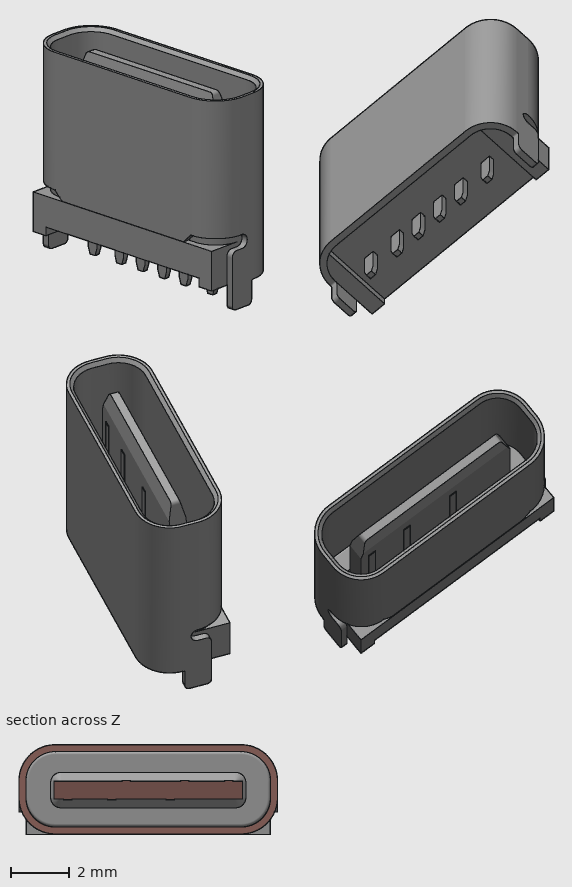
import cadquery as cq

SHELL_LENGTH = 8.85
SHELL_WIDTH = 3.06
SHELL_HEIGHT = 6.815
SHELL_RADIUS = 1.25
WALL = 0.25
MOUTH_CHAMFER = 0.13

INNER_LENGTH = SHELL_LENGTH - 2 * WALL
INNER_WIDTH = SHELL_WIDTH - 2 * WALL
INNER_RADIUS = SHELL_RADIUS - WALL
FLAT_HALF_X = SHELL_LENGTH / 2 - SHELL_RADIUS
FLAT_HALF_Y = SHELL_WIDTH / 2 - SHELL_RADIUS

BASE_HEIGHT = 1.45
BASE_LIP = 0.02
SKIRT_BOTTOM = 1.78
RELIEF_HEIGHT = 0.505

LEG_BOTTOM = -0.885
LEG_TOP = SKIRT_BOTTOM - RELIEF_HEIGHT
LEG_FRONT = -0.78
LEG_BACK = 0.195
LEG_TOP_FILLET = 0.22
LEG_END_FILLET = 0.18
LEG_ROOT_FILLET = 0.07

FLOOR_HEIGHT = 1.9
FLOOR_FILLET = 0.1
CHANNEL_LENGTH = 7.17
CHANNEL_HEIGHT = 0.32

FOOT_LENGTH = 6.67
FOOT_WIDTH = 1.21
FOOT_RADIUS = 0.35
FOOT_HEIGHT = 0.345

TONGUE_Y = -0.03
TONGUE_LENGTH = 6.46
TONGUE_THICKNESS = 0.61
TONGUE_TIP = 6.55
TIP_LENGTH = 5.88
TIP_THICKNESS = 0.31
TIP_BEVEL_HEIGHT = 0.64
END_BEVEL_HEIGHT = 0.97
TIP_FILLET = 0.16

CONTACT_WIDTH = 0.28
CONTACT_RISE = 0.03
CONTACT_TOP = 5.31
BACK_CONTACTS = (-0.75, 1.25, 2.75)

PIN_WIDTH = 0.41
PIN_TIP_WIDTH = 0.24
PIN_THICKNESS = 0.2
PIN_TAPER = 0.265
PIN_OFFSETS = (0.505, 1.505, 2.75)


def oblong(length, width, radius, bottom, top):
    """Upright rounded-rectangle prism between two heights."""
    prism = cq.Workplane("XY", origin=(0, 0, bottom)).rect(length, width).extrude(top - bottom)
    return prism.edges("|Z").fillet(radius)


def box_between(x_range, y_range, z_range):
    """Box given by its limits along each axis."""
    size = [high - low for low, high in (x_range, y_range, z_range)]
    corner = (x_range[0], y_range[0], z_range[0])
    return cq.Workplane("XY").box(*size, centered=False).translate(corner)


def make_tube():
    """Oblong tube whose bore widens at the mouth."""
    outer = oblong(SHELL_LENGTH, SHELL_WIDTH, SHELL_RADIUS, 0, SHELL_HEIGHT)
    bore = oblong(INNER_LENGTH, INNER_WIDTH, INNER_RADIUS, 0, SHELL_HEIGHT)
    tube = outer.cut(bore)
    mouth = tube.faces(">Z").val().innerWires()[0]
    return tube.newObject([tube.val().chamfer(MOUTH_CHAMFER, None, mouth.Edges())])


def make_front_tab():
    """Tapered strip of the front wall that reaches down to the base block."""
    drop = SKIRT_BOTTOM - BASE_HEIGHT
    return (
        cq.Workplane("XZ", origin=(0, -INNER_WIDTH / 2, 0))
        .moveTo(-FLAT_HALF_X, SKIRT_BOTTOM)
        .lineTo(-FLAT_HALF_X + drop, BASE_HEIGHT)
        .lineTo(FLAT_HALF_X - drop, BASE_HEIGHT)
        .lineTo(FLAT_HALF_X, SKIRT_BOTTOM)
        .close()
        .extrude(WALL)
    )


def make_leg(inner_x):
    """Flat leg in line with an end wall of the shell, starting at inner_x."""
    plate = (
        box_between((0, WALL), (LEG_FRONT, LEG_BACK), (LEG_BOTTOM, LEG_TOP))
        .edges("|X and >Z and <Y")
        .fillet(LEG_TOP_FILLET)
        .edges("|X and <Z")
        .fillet(LEG_END_FILLET)
    )
    root = (
        cq.Workplane("YZ")
        .moveTo(LEG_BACK, 0)
        .lineTo(LEG_BACK + LEG_ROOT_FILLET, 0)
        .radiusArc((LEG_BACK, -LEG_ROOT_FILLET), -LEG_ROOT_FILLET)
        .close()
        .extrude(WALL)
    )
    return plate.union(root).translate((inner_x, 0, 0))


def make_shell():
    """Tube cut away at the lower front, with its front tab and two legs."""
    half = SHELL_LENGTH / 2
    cutaway = box_between((-half, half), (-SHELL_WIDTH / 2, -FLAT_HALF_Y), (0, SKIRT_BOTTOM))
    relief = (
        cq.Workplane("YZ", origin=(-half, 0, 0))
        .center(-FLAT_HALF_Y, SKIRT_BOTTOM - RELIEF_HEIGHT / 2)
        .circle(RELIEF_HEIGHT / 2)
        .extrude(SHELL_LENGTH)
    )
    shell = make_tube().cut(cutaway).cut(relief).union(make_front_tab())
    for inner_x in (-half, half - WALL):
        shell = shell.union(make_leg(inner_x))
    return shell


def make_base():
    """Plug filling the shell, with the block at its front and the channel underneath."""
    plug = oblong(INNER_LENGTH, INNER_WIDTH, INNER_RADIUS, 0, FLOOR_HEIGHT)
    plug = plug.faces(">Z").edges().fillet(FLOOR_FILLET)
    half = INNER_LENGTH / 2
    block = box_between((-half, half), (-SHELL_WIDTH / 2 - BASE_LIP, 0), (0, BASE_HEIGHT))
    channel = cq.Workplane("XY").box(
        CHANNEL_LENGTH, 2 * SHELL_WIDTH, CHANNEL_HEIGHT, centered=(True, True, False)
    )
    return plug.union(block).cut(channel)


def make_foot():
    """Raised foot with sloped sides around the tongue."""
    bottom = FLOOR_HEIGHT - FOOT_HEIGHT
    top = FLOOR_HEIGHT + FOOT_HEIGHT
    foot = oblong(FOOT_LENGTH, FOOT_WIDTH, FOOT_RADIUS, bottom, top)
    return foot.faces(">Z").chamfer(FOOT_HEIGHT)


def bevelled_slab(plane, width, tip_width, bevel_height, depth):
    """Slab standing on the floor, its outline in the given plane narrowing over the bevel height."""
    shoulder = TONGUE_TIP - bevel_height
    return (
        cq.Workplane(plane)
        .moveTo(-width / 2, FLOOR_HEIGHT)
        .lineTo(width / 2, FLOOR_HEIGHT)
        .lineTo(width / 2, shoulder)
        .lineTo(tip_width / 2, TONGUE_TIP)
        .lineTo(-tip_width / 2, TONGUE_TIP)
        .lineTo(-width / 2, shoulder)
        .close()
        .extrude(depth / 2, both=True)
    )


def make_tongue():
    """Tongue bevelled on all four sides, with rounded ends at its tip."""
    long_outline = bevelled_slab("XZ", TONGUE_LENGTH, TIP_LENGTH, END_BEVEL_HEIGHT, TONGUE_THICKNESS)
    long_outline = long_outline.faces(">Z").edges("|Y").fillet(TIP_FILLET)
    cross_section = bevelled_slab("YZ", TONGUE_THICKNESS, TIP_THICKNESS, TIP_BEVEL_HEIGHT, TONGUE_LENGTH)
    return long_outline.intersect(cross_section)


def make_contact(x, side):
    """Contact strip on the back (side = 1) or front (side = -1) face of the tongue."""
    y_limits = sorted((0, side * (TONGUE_THICKNESS / 2 + CONTACT_RISE)))
    x_limits = (x - CONTACT_WIDTH / 2, x + CONTACT_WIDTH / 2)
    return box_between(x_limits, y_limits, (FLOOR_HEIGHT, CONTACT_TOP))


def make_pin(x):
    """Flat pin with a tapered end, hanging from the roof of the channel."""
    shoulder = LEG_BOTTOM + PIN_TAPER
    return (
        cq.Workplane("XZ", origin=(x, PIN_THICKNESS / 2, 0))
        .moveTo(-PIN_WIDTH / 2, CHANNEL_HEIGHT)
        .lineTo(-PIN_WIDTH / 2, shoulder)
        .lineTo(-PIN_TIP_WIDTH / 2, LEG_BOTTOM)
        .lineTo(PIN_TIP_WIDTH / 2, LEG_BOTTOM)
        .lineTo(PIN_WIDTH / 2, shoulder)
        .lineTo(PIN_WIDTH / 2, CHANNEL_HEIGHT)
        .close()
        .extrude(PIN_THICKNESS)
    )


def make_mating_part():
    """Tongue with its foot and contacts."""
    mating_part = make_foot().union(make_tongue())
    for x in BACK_CONTACTS:
        mating_part = mating_part.union(make_contact(x, 1)).union(make_contact(-x, -1))
    return mating_part.translate((0, TONGUE_Y, 0))


def make_insulator():
    """Base and mating part together with the pins, as one solid."""
    insulator = make_base().union(make_mating_part())
    for x in PIN_OFFSETS:
        insulator = insulator.union(make_pin(x)).union(make_pin(-x))
    return insulator


shell = make_shell().solids()
insulator = make_insulator().solids()
result = cq.Compound.makeCompound([shell.val(), insulator.val()])